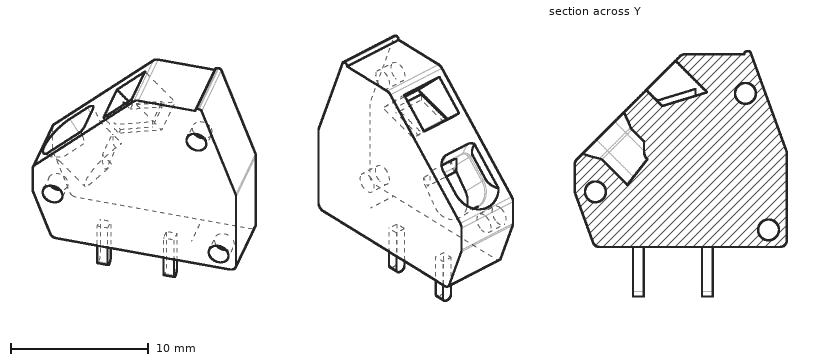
import cadquery as cq
import math

LENGTH = 15.4
WIDTH = 5.07
TOTAL_HEIGHT = 17.8
PIN_LENGTH = 3.6
CREST_Z = TOTAL_HEIGHT - PIN_LENGTH
ROOF_Z = 13.99
SLOPE_FOOT_Z = 6.2
LEFT_KNEE_Z = 3.99
RIGHT_KNEE_Z = 6.89
LEAN = math.tan(math.radians(20.0))
RIDGE_X = 12.3
EDGE_RADIUS = 0.5
RIDGE_RADIUS = 0.21

RECESS_DIAMETER = 1.5
RECESS_DEPTH = 1.5
RECESS_CENTRES = [(1.51, 4.0), (12.39, 11.15), (14.06, 1.25)]

PIN_SIDE = 0.8
PIN_TIP_RADIUS = 0.35
PIN_CENTRE_Y = 2.63
FIRST_PIN_X = 4.63
PIN_PITCH = 5.0

POCKET_X_MIN = 5.2
POCKET_X_MAX = 7.32
POCKET_Y_MIN = 0.57
POCKET_Y_MAX = 4.02
POCKET_DEPTH = 1.64
FLOOR_ANGLE = 17.0
STEP_DEPTH = 1.1
STEP_X_MAX = 8.75
STEP_Y_MIN = 1.01
STEP_Y_MAX = 3.5
STEP_RADIUS = 0.28

SHAFT_RADIUS = 1.5
SHAFT_CENTRE_Y = 2.28
SHAFT_CENTRE_U = 2.25
SHAFT_TOP_U = 4.65
SHAFT_FAR_CORNER_RADIUS = 0.53
SHAFT_NEAR_CORNER_RADIUS = 0.43
FUNNEL_DEPTH = 1.21
FUNNEL_FLARE = 0.43
FUNNEL_Y_MIN = 0.68
THROAT_RADIUS = 0.53
SHAFT_FLOOR_X = 3.35
SHAFT_FLOOR_ANGLE = 52.0
CLAMP_X = 5.02
CLAMP_Y_MIN = 0.96
CLAMP_Y_MAX = 3.6
CLAMP_ROUND_Z = 7.0
CLAMP_RADIUS = 1.0

DIAGONAL = math.sqrt(0.5)
LONG_REACH = 10.68
PICK_MARGIN = 0.02

WIRING_FACE = cq.Plane(origin=(0, 0, SLOPE_FOOT_Z), xDir=(1, 0, 1), normal=(-1, 0, 1))


def side_prism(points, y_min, y_max):
    """Extrude a closed XZ outline from y_min to y_max."""
    return (
        cq.Workplane("XZ", origin=(0, y_min, 0))
        .polyline(points)
        .close()
        .extrude(y_min - y_max)
    )


def round_edge(body, x, z, radius):
    """Round the edge along Y that runs through (x, z)."""
    picker = cq.selectors.BoxSelector(
        (x - PICK_MARGIN, -LONG_REACH, z - PICK_MARGIN),
        (x + PICK_MARGIN, LONG_REACH, z + PICK_MARGIN),
    )
    return body.edges("|Y").edges(picker).fillet(radius)


def right_face_x(z):
    """X of the inclined right face at height z."""
    return LENGTH - (z - RIGHT_KNEE_Z) * LEAN


def make_housing():
    rounded_corners = [
        (LEFT_KNEE_Z * LEAN, 0),
        (LENGTH, 0),
        (LENGTH, RIGHT_KNEE_Z),
        (ROOF_Z - SLOPE_FOOT_Z, ROOF_Z),
        (0, SLOPE_FOOT_Z),
        (0, LEFT_KNEE_Z),
    ]
    roof_end = (right_face_x(ROOF_Z), ROOF_Z)
    body = side_prism(rounded_corners[:3] + [roof_end] + rounded_corners[3:], 0, WIDTH)
    for x, z in rounded_corners:
        body = round_edge(body, x, z, EDGE_RADIUS)
    return body


def make_ridge():
    """Round-topped ridge whose outer side continues the inclined right face."""
    base_z = ROOF_Z - RIDGE_RADIUS
    crest = [(right_face_x(CREST_Z), CREST_Z), (RIDGE_X, CREST_Z)]
    base = [(RIDGE_X, base_z), (right_face_x(base_z), base_z)]
    ridge = side_prism(crest + base, 0, WIDTH)
    for x, z in crest:
        ridge = round_edge(ridge, x, z, RIDGE_RADIUS)
    return ridge


def make_recesses():
    return cq.Workplane("XZ").pushPoints(RECESS_CENTRES).circle(RECESS_DIAMETER / 2).extrude(-RECESS_DEPTH)


def make_pin(centre_x):
    return (
        cq.Workplane("XY", origin=(centre_x, PIN_CENTRE_Y, -PIN_LENGTH))
        .rect(PIN_SIDE, PIN_SIDE)
        .extrude(PIN_LENGTH + EDGE_RADIUS)
        .edges("|X and <Z")
        .fillet(PIN_TIP_RADIUS)
    )


def make_pocket():
    """Void of the release pocket, with the raised step left standing on its floor."""
    rise = math.tan(math.radians(FLOOR_ANGLE))
    rim_low_z = SLOPE_FOOT_Z + POCKET_X_MIN
    rim_high_z = SLOPE_FOOT_Z + POCKET_X_MAX
    floor_x = POCKET_X_MIN + POCKET_DEPTH * DIAGONAL
    floor_z = rim_low_z - POCKET_DEPTH * DIAGONAL
    end_x = (rim_high_z + POCKET_X_MAX - floor_z + rise * floor_x) / (1 + rise)
    end_z = rim_high_z + POCKET_X_MAX - end_x
    void = side_prism(
        [(POCKET_X_MIN, rim_low_z), (floor_x, floor_z), (end_x, end_z), (POCKET_X_MAX, rim_high_z)],
        POCKET_Y_MIN,
        POCKET_Y_MAX,
    )

    step_x = POCKET_X_MIN + STEP_DEPTH * DIAGONAL
    step_z = rim_low_z - STEP_DEPTH * DIAGONAL
    step_end_z = step_z + rise * (STEP_X_MAX - step_x)
    step = side_prism(
        [
            (POCKET_X_MIN, rim_low_z),
            (step_x, step_z),
            (STEP_X_MAX, step_end_z),
            (STEP_X_MAX, 0),
            (POCKET_X_MIN, 0),
        ],
        STEP_Y_MIN,
        STEP_Y_MAX,
    )
    return void.cut(round_edge(step, step_x, step_z, STEP_RADIUS))


def shaft_section():
    """Shaft cross-section at the inner end of the funnel: round below, square with rounded corners above.

    It is drawn in the local frame of the wiring face, where Z = 0 is the face itself.
    """
    y_near = SHAFT_CENTRE_Y - SHAFT_RADIUS
    y_far = SHAFT_CENTRE_Y + SHAFT_RADIUS
    far_start_u = SHAFT_TOP_U - SHAFT_FAR_CORNER_RADIUS
    near_end_u = SHAFT_TOP_U - SHAFT_NEAR_CORNER_RADIUS
    return (
        cq.Workplane("XY", origin=(0, 0, -FUNNEL_DEPTH))
        .moveTo(SHAFT_CENTRE_U, y_near)
        .threePointArc((SHAFT_CENTRE_U - SHAFT_RADIUS, SHAFT_CENTRE_Y), (SHAFT_CENTRE_U, y_far))
        .lineTo(far_start_u, y_far)
        .tangentArcPoint((SHAFT_TOP_U, y_far - SHAFT_FAR_CORNER_RADIUS), relative=False)
        .lineTo(SHAFT_TOP_U, y_near + SHAFT_NEAR_CORNER_RADIUS)
        .tangentArcPoint((near_end_u, y_near), relative=False)
        .close()
    )


def make_bore():
    """Void of the funnel and an overlong shaft, in the local frame of the wiring face."""
    flare_angle = math.degrees(math.atan2(FUNNEL_FLARE, FUNNEL_DEPTH))
    funnel = shaft_section().extrude(FUNNEL_DEPTH, taper=-flare_angle)
    shaft = shaft_section().extrude(-LONG_REACH)
    throat = cq.selectors.BoxSelector(
        (-LONG_REACH, -LONG_REACH, -FUNNEL_DEPTH - PICK_MARGIN),
        (LONG_REACH, LONG_REACH, -FUNNEL_DEPTH + PICK_MARGIN),
    )
    bore = funnel.union(shaft).edges(throat).fillet(THROAT_RADIUS)
    beyond_flat_wall = (
        cq.Workplane("XZ", origin=(0, FUNNEL_Y_MIN, 0))
        .rect(2 * LONG_REACH, 2 * LONG_REACH)
        .extrude(LONG_REACH)
    )
    return bore.cut(beyond_flat_wall)


def make_wire_entry():
    """Void of the wire entry, ending on the inclined shaft floor and the clamp in front of it."""
    bore = cq.Workplane(make_bore().val().moved(WIRING_FACE.location))

    lowest_line_z = SLOPE_FOOT_Z + 2 * DIAGONAL * (SHAFT_CENTRE_U - SHAFT_RADIUS)
    floor_z = lowest_line_z - SHAFT_FLOOR_X
    rise = math.tan(math.radians(SHAFT_FLOOR_ANGLE))
    run = LONG_REACH / rise
    below_floor = side_prism(
        [
            (SHAFT_FLOOR_X - run, floor_z - LONG_REACH),
            (SHAFT_FLOOR_X + run, floor_z + LONG_REACH),
            (SHAFT_FLOOR_X + run, floor_z - LONG_REACH),
        ],
        0,
        WIDTH,
    )

    clamp_z = CLAMP_ROUND_Z - CLAMP_RADIUS
    clamp = side_prism(
        [(CLAMP_X, clamp_z), (LENGTH, clamp_z), (LENGTH, ROOF_Z), (CLAMP_X, ROOF_Z)],
        CLAMP_Y_MIN,
        CLAMP_Y_MAX,
    )
    return bore.cut(below_floor).cut(round_edge(clamp, CLAMP_X, clamp_z, CLAMP_RADIUS))


result = make_housing().union(make_ridge()).clean()
result = result.cut(make_recesses()).cut(make_pocket()).cut(make_wire_entry())
for pin_x in (FIRST_PIN_X, FIRST_PIN_X + PIN_PITCH):
    result = result.union(make_pin(pin_x))